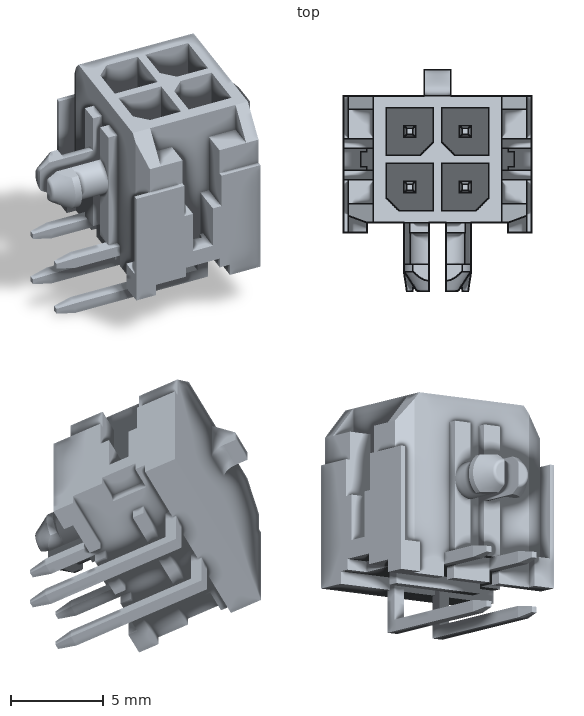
import cadquery as cq


PITCH = 3.0
HALF_PITCH = PITCH / 2
PIN_WIDTH = 0.64
PIN_POINT_WIDTH = 0.32
PIN_POINT_LENGTH = 1.03
PIN_TOP_Z = 7.1
FRONT_TAIL_Z = 1.0
REAR_TAIL_Z = FRONT_TAIL_Z - PITCH

HEIGHT = 9.93
BLOCK_DEPTH = 6.84
BLOCK_HALF_WIDTH = 4.82
CORE_HALF_WIDTH = 3.46
FRONT_HALF_WIDTH = 3.8
SHOULDER_Z = 8.29
CORNER_CHAMFER_Y = 0.38
FRONT_Y = -BLOCK_DEPTH / 2
REAR_Y = BLOCK_DEPTH / 2
TAIL_REACH = 3.7
PIN_END_Y = FRONT_Y - TAIL_REACH
REAR_GUSSET_THICKNESS = 0.73
FRONT_GUSSET_THICKNESS = 1.03

WIDTH = 10.15
HALF_WIDTH = WIDTH / 2
PLATE_TOP_Z = 6.76
FORWARD_REACH = 0.54
FORWARD_Y = FRONT_Y - FORWARD_REACH
FOOT_TOP_Z = 1.62

WIDE_SLOT_WIDTH = 2.2
WIDE_SLOT_FLOOR_Z = 4.74
NARROW_SLOT_WIDTH = 1.19
NARROW_SLOT_FLOOR_Z = 2.25
CLIP_HOLE_OUTER_X = 4.14
CLIP_HOLE_STEP_X = 3.82
CLIP_HOLE_TONGUE_WIDTH = 0.78
CLIP_HOLE_DEPTH = 0.49

CAVITY_SIZE = 2.55
CAVITY_CHAMFER = 0.7
CAVITY_FLOOR_Z = NARROW_SLOT_FLOOR_Z

CHANNEL_REAR_Y = 1.6
CHANNEL_FRONT_Y = -2.78
CHANNEL_TOP_Z = FRONT_TAIL_Z - PIN_WIDTH / 2
CENTRE_RIB_THICKNESS = 0.65
CENTRE_RIB_LENGTH = PITCH + CAVITY_SIZE
SIDE_RECESS_WIDTH = 2.01
SIDE_RECESS_TOP_Z = 1.27

PEG_GAP = 0.9
RAIL_WIDTH = 1.04
RAIL_BOTTOM_Z = FRONT_TAIL_Z + PIN_WIDTH / 2
RAIL_TOP_Z = 8.5
PEG_Z = 5.32
PEG_RADIUS = 1.03
PEG_FLAT_HEIGHT = 2 * PEG_RADIUS
PEG_HEAD_Y = -5.67
PEG_CONE_Y = -6.06
PEG_END_Y = PIN_END_Y
PEG_HEAD_RADIUS = 1.35
PEG_END_RADIUS = 0.66
PEG_END_FILLET = 0.22

LATCH_WIDTH = 1.43
LATCH_REACH = 1.41
LATCH_TOP_Z = 9.35
LATCH_NOSE_TOP_Z = 7.71
LATCH_BOTTOM_Z = 6.95
LATCH_FILLET = 0.67


def block(x_limits, y_limits, z_limits):
    """Axis-aligned box given by its limits on each axis."""
    corner = (x_limits[0], y_limits[0], z_limits[0])
    size = [limits[1] - limits[0] for limits in (x_limits, y_limits, z_limits)]
    return cq.Workplane("XY").box(*size, centered=False).translate(corner)


def centred(width):
    """Limits of a span centred on zero."""
    return (-width / 2, width / 2)


def both_sides(shape):
    """A shape on the +X side together with its mirror image on the -X side."""
    return shape.union(shape.mirror("YZ"))


def make_block():
    """Block with sloped top shoulders and chamfered front corners."""
    elevation = [
        (-BLOCK_HALF_WIDTH, 0),
        (BLOCK_HALF_WIDTH, 0),
        (BLOCK_HALF_WIDTH, SHOULDER_Z),
        (CORE_HALF_WIDTH, HEIGHT),
        (-CORE_HALF_WIDTH, HEIGHT),
        (-BLOCK_HALF_WIDTH, SHOULDER_Z),
    ]
    plan = [
        (-BLOCK_HALF_WIDTH, REAR_Y),
        (BLOCK_HALF_WIDTH, REAR_Y),
        (BLOCK_HALF_WIDTH, FRONT_Y + CORNER_CHAMFER_Y),
        (FRONT_HALF_WIDTH, FRONT_Y),
        (-FRONT_HALF_WIDTH, FRONT_Y),
        (-BLOCK_HALF_WIDTH, FRONT_Y + CORNER_CHAMFER_Y),
    ]
    front_profile = cq.Workplane("XZ").polyline(elevation).close().extrude(BLOCK_DEPTH / 2, both=True)
    plan_profile = cq.Workplane("XY").polyline(plan).close().extrude(HEIGHT)
    return front_profile.intersect(plan_profile)


def make_side_plates():
    """Thin plates on the block's sides, with a foot at the front of each."""
    plate = block((BLOCK_HALF_WIDTH, HALF_WIDTH), (FORWARD_Y, REAR_Y), (0, PLATE_TOP_Z))
    foot_rear_y = FRONT_Y + CORNER_CHAMFER_Y
    foot = block((FRONT_HALF_WIDTH, HALF_WIDTH), (FORWARD_Y, foot_rear_y), (0, FOOT_TOP_Z))
    return both_sides(plate.union(foot))


def make_shoulder_pockets():
    """Space between the front and rear gussets, above the shoulders."""
    y_limits = (FRONT_Y + FRONT_GUSSET_THICKNESS, REAR_Y - REAR_GUSSET_THICKNESS)
    return both_sides(block((CORE_HALF_WIDTH, HALF_WIDTH), y_limits, (SHOULDER_Z, HEIGHT)))


def make_clip_openings():
    """Stepped slot in each side, with a T-shaped blind hole in its floor."""
    slot_x = (CORE_HALF_WIDTH, HALF_WIDTH)
    wide_slot = block(slot_x, centred(WIDE_SLOT_WIDTH), (WIDE_SLOT_FLOOR_Z, HEIGHT))
    narrow_slot = block(slot_x, centred(NARROW_SLOT_WIDTH), (NARROW_SLOT_FLOOR_Z, HEIGHT))
    hole_z = (NARROW_SLOT_FLOOR_Z - CLIP_HOLE_DEPTH, NARROW_SLOT_FLOOR_Z)
    hole_bar = block((CORE_HALF_WIDTH, CLIP_HOLE_STEP_X), centred(NARROW_SLOT_WIDTH), hole_z)
    hole_tongue = block((CORE_HALF_WIDTH, CLIP_HOLE_OUTER_X), centred(CLIP_HOLE_TONGUE_WIDTH), hole_z)
    return both_sides(wide_slot.union(narrow_slot).union(hole_bar).union(hole_tongue))


def make_cavity(side, row):
    """Square cavity with one chamfered corner; side and row are -1 or 1."""
    chamfer_side = "<X" if side == row else ">X"
    return (
        cq.Workplane("XY")
        .box(CAVITY_SIZE, CAVITY_SIZE, HEIGHT - CAVITY_FLOOR_Z, centered=(True, True, False))
        .faces("<Y")
        .edges(chamfer_side)
        .chamfer(CAVITY_CHAMFER)
        .translate((side * HALF_PITCH, row * HALF_PITCH, CAVITY_FLOOR_Z))
    )


def make_underside_cuts():
    """Channel across the bottom around a centre rib, side recesses and pin notches."""
    channel_y = (CHANNEL_FRONT_Y, CHANNEL_REAR_Y)
    channel = block(centred(WIDTH), channel_y, (0, CHANNEL_TOP_Z))
    rib = block(centred(CENTRE_RIB_LENGTH), centred(CENTRE_RIB_THICKNESS), (0, CHANNEL_TOP_Z))
    recess_x = (FRONT_HALF_WIDTH, HALF_WIDTH)
    recess = block(recess_x, centred(SIDE_RECESS_WIDTH), (0, SIDE_RECESS_TOP_Z))
    notch_x = (HALF_PITCH - PIN_WIDTH / 2, HALF_PITCH + PIN_WIDTH / 2)
    notch = block(notch_x, (FRONT_Y, CHANNEL_FRONT_Y), (0, CHANNEL_TOP_Z))
    return channel.cut(rib).union(both_sides(recess)).union(both_sides(notch))


def make_rails():
    """Two upright rails on the front face, either side of the peg gap."""
    rail_x = (PEG_GAP / 2, PEG_GAP / 2 + RAIL_WIDTH)
    return both_sides(block(rail_x, (FORWARD_Y, FRONT_Y), (RAIL_BOTTOM_Z, RAIL_TOP_Z)))


def make_peg():
    """Split peg: two half-round prongs with conical heads and flats above and below."""
    profile = [
        (0, FRONT_Y),
        (PEG_RADIUS, FRONT_Y),
        (PEG_RADIUS, PEG_HEAD_Y),
        (PEG_HEAD_RADIUS, PEG_HEAD_Y),
        (PEG_HEAD_RADIUS, PEG_CONE_Y),
        (PEG_END_RADIUS, PEG_END_Y),
        (0, PEG_END_Y),
    ]
    round_peg = (
        cq.Workplane("XY")
        .polyline(profile)
        .close()
        .revolve(360, (0, 0, 0), (0, 1, 0))
        .faces("<Y")
        .edges()
        .fillet(PEG_END_FILLET)
    )
    half_space = block((0, PEG_HEAD_RADIUS), (PEG_END_Y, FRONT_Y), centred(PEG_FLAT_HEIGHT))
    prong = round_peg.intersect(half_space).translate((PEG_GAP / 2, 0, PEG_Z))
    return both_sides(prong)


def make_latch():
    """Ramp on the rear face with a filleted underside."""
    nose_y = REAR_Y + LATCH_REACH
    return (
        cq.Workplane("YZ")
        .moveTo(REAR_Y, LATCH_TOP_Z)
        .lineTo(nose_y, LATCH_NOSE_TOP_Z)
        .lineTo(nose_y, LATCH_BOTTOM_Z)
        .lineTo(REAR_Y + LATCH_FILLET, LATCH_BOTTOM_Z)
        .radiusArc((REAR_Y, LATCH_BOTTOM_Z - LATCH_FILLET), -LATCH_FILLET)
        .close()
        .extrude(LATCH_WIDTH / 2, both=True)
    )


def make_pin_point():
    """Tapered pin end, with its wide base at the origin and pointing up."""
    return (
        cq.Workplane("XY")
        .rect(PIN_WIDTH, PIN_WIDTH)
        .workplane(offset=PIN_POINT_LENGTH)
        .rect(PIN_POINT_WIDTH, PIN_POINT_WIDTH)
        .loft(combine=True)
    )


def make_pin(x, y, tail_z):
    """L-shaped square pin: upright at (x, y), tail running forward at tail_z."""
    half = PIN_WIDTH / 2
    pin_x = (x - half, x + half)
    upright_top = PIN_TOP_Z - PIN_POINT_LENGTH
    tail_end = PIN_END_Y + PIN_POINT_LENGTH
    upright = block(pin_x, (y - half, y + half), (tail_z - half, upright_top))
    tail = block(pin_x, (tail_end, y + half), (tail_z - half, tail_z + half))
    mating_point = make_pin_point().translate((x, y, upright_top))
    solder_point = make_pin_point().rotate((0, 0, 0), (1, 0, 0), 90).translate((x, tail_end, tail_z))
    return upright.union(tail).union(mating_point).union(solder_point)


def make_housing(pins):
    """Housing with a matching passage for every pin."""
    housing = make_block().union(make_side_plates())
    housing = housing.cut(make_shoulder_pockets()).cut(make_clip_openings())
    for side in (-1, 1):
        for row in (-1, 1):
            housing = housing.cut(make_cavity(side, row))
    housing = housing.cut(make_underside_cuts())
    housing = housing.union(make_rails()).union(make_peg()).union(make_latch())
    for pin in pins:
        housing = housing.cut(pin)
    return housing


pins = []
for column_x in (-HALF_PITCH, HALF_PITCH):
    pins.append(make_pin(column_x, HALF_PITCH, REAR_TAIL_Z))
    pins.append(make_pin(column_x, -HALF_PITCH, FRONT_TAIL_Z))

housing = make_housing(pins)

result = cq.Compound.makeCompound([housing.solids().val(), *[pin.solids().val() for pin in pins]])